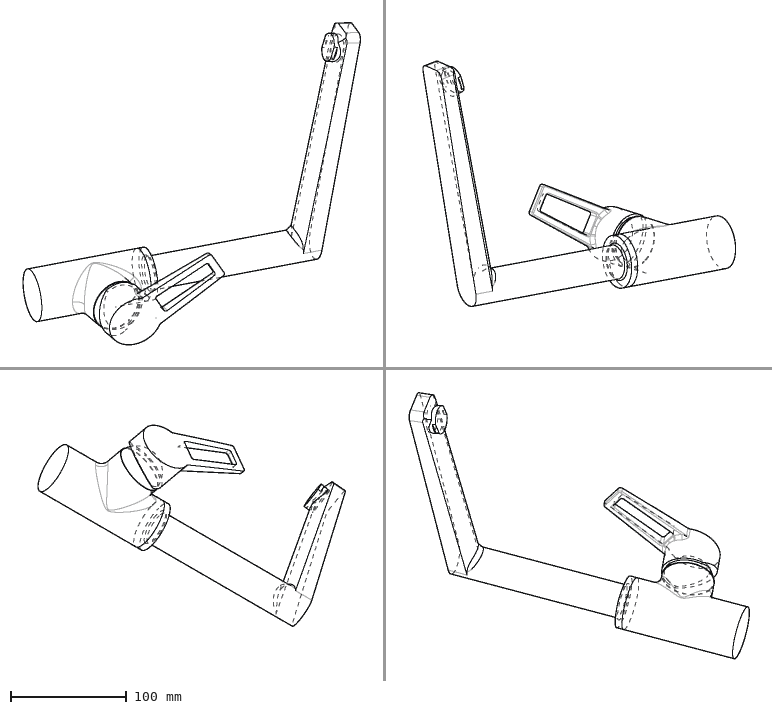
import cadquery as cq
import math


body_radius = 23.3
housing_length = 101.0
collar_length = 6.3
collar_top = housing_length + collar_length

branch_height = 54.7
branch_tilt = 10
branch_radius = 23.0
branch_length = 42.0
branch_blend = 8.5
ball_radius = 22.7
ball_center = 38.2

tube_radius = 15.0
flare_radius = 16.5
flare_length = 1.8
arm_tilt = 10
arm_back = 262.2
arm_edge = 245.0
arm_edge_tilt = 11.3
arm_bulge_bottom = 8.0
arm_bulge_top = 7.2
arm_back_top = 206.7
arm_loft_height = 224.0
arm_corner_radius = 6.5
head_depth = 12.5
head_bevel_angle = 51
elbow_slope = 41
elbow_half_width = 14.5
elbow_rise = 17.0
elbow_length = 15.0
elbow_overlap = 3.0

aerator_y = 273.3
aerator_z = 192.7
aerator_tilt = 17
aerator_radius = 12.2
aerator_length = 9.0
flat_half_width = 10.8
flat_length = 3.0

lever_turn = 30.5
cap_radius = 24.0
cap_start = 46.0
cap_relief_angle = 22
lever_end = 85.7
outer_points = [(-27.0, 70.0), (38.8, 82.5), (lever_end, 90.5)]
blade_root = 12.0
blade_inner_end = 86.0
blade_inner_tilt = 14
blade_root_half_width = 18.2
blade_end_half_width = 14.3
blade_corner_radius = 2.7
window_start = 25.5
window_end = 79.2
window_start_half_width = 10.2
window_end_half_width = 8.0
window_corner_radius = 2.0
blade_edge_radius = 1.2
blade_root_radius = 3.5

trim_reach = 179.2


def turned(angle):
    """Direction in the XY plane at the given angle from +X."""
    return cq.Vector(math.cos(math.radians(angle)), math.sin(math.radians(angle)), 0)


branch_axis = turned(branch_tilt)
branch_side = turned(branch_tilt + 90)
blade_direction = (
    branch_side * math.cos(math.radians(lever_turn))
    + cq.Vector(0, 0, 1) * math.sin(math.radians(lever_turn))
)
branch_frame = cq.Location(cq.Plane((0, branch_height, 0), blade_direction, branch_axis))


def y_cylinder(radius, start, end):
    return cq.Workplane("XZ", origin=(0, start, 0)).circle(radius).extrude(start - end)


def make_ball():
    """Ball end of the branch, which also shapes the socket in the lever."""
    return cq.Workplane("XY").sphere(ball_radius).translate((0, 0, ball_center)).val().moved(branch_frame)


def make_housing():
    column = y_cylinder(body_radius, 0, housing_length)
    branch = cq.Workplane("XY").circle(branch_radius).extrude(branch_length).val().moved(branch_frame)
    joined = column.union(cq.Workplane(branch))
    crossing = joined.edges("not(%CIRCLE or %LINE)")
    return crossing.fillet(branch_blend).union(cq.Workplane(make_ball()))


def make_collar():
    return y_cylinder(body_radius, housing_length, collar_top)


def arm_section(z, bulge):
    """Closed section at height z: flat back and sides, rounded front."""
    back = arm_back + z * math.tan(math.radians(arm_tilt))
    edge = arm_edge + z * math.tan(math.radians(arm_edge_tilt))
    return (
        cq.Workplane("XY", origin=(0, 0, z))
        .moveTo(-tube_radius, edge)
        .lineTo(-tube_radius, back)
        .lineTo(tube_radius, back)
        .lineTo(tube_radius, edge)
        .threePointArc((0, edge - bulge), (-tube_radius, edge))
        .close()
        .wires()
        .val()
    )


def back_frame(height):
    """Plane on the back of the arm: X up the arm from the given height, Z pointing backwards."""
    lean = math.radians(arm_tilt)
    start = (0, arm_back + height * math.tan(lean), height)
    return cq.Plane(start, (0, math.sin(lean), math.cos(lean)), (0, math.cos(lean), -math.sin(lean)))


def aerator_frame(behind=0.0):
    """Plane facing out of the aerator, set back from its face by the given distance."""
    lean = math.radians(aerator_tilt)
    outward = cq.Vector(0, -math.cos(lean), math.sin(lean))
    return cq.Plane(cq.Vector(0, aerator_y, aerator_z) - outward * behind, (1, 0, 0), outward)


def arm_corner(side):
    """Middle of the square corner edge at the top of the arm, on one side."""
    return back_frame(arm_back_top).toWorldCoords((0, side * tube_radius, -head_depth / 2)).toTuple()


def make_arm():
    sections = [arm_section(0, arm_bulge_bottom), arm_section(arm_loft_height, arm_bulge_top)]
    arm = cq.Workplane(cq.Solid.makeLoft(sections, True))
    above_top = cq.Workplane(back_frame(arm_back_top)).box(
        trim_reach, trim_reach, trim_reach, centered=(False, True, True)
    )
    arm = arm.cut(above_top)
    for side in (-1, 1):
        arm = arm.edges(cq.selectors.NearestToPointSelector(arm_corner(side))).fillet(arm_corner_radius)
    return arm


def cut_head(spout):
    """Bevel the top of the rounded front and sink the round seat of the aerator."""
    front_top = back_frame(arm_back_top).toWorldCoords((0, 0, -head_depth))
    bevel_reach = 2 * tube_radius
    bevel_drop = bevel_reach * math.tan(math.radians(head_bevel_angle))
    bevel = (
        cq.Workplane("YZ", origin=front_top.toTuple())
        .polyline([(0, 0), (-bevel_reach, -bevel_drop), (-bevel_reach, bevel_reach), (0, bevel_reach)])
        .close()
        .extrude(trim_reach, both=True)
    )
    seat = cq.Workplane(aerator_frame(aerator_length)).circle(aerator_radius).extrude(aerator_length)
    return spout.cut(bevel).cut(seat)


def make_elbow_blend():
    """Arched gusset in the corner of tube and arm, running out at the side edges."""
    slope = math.radians(elbow_slope)
    along = cq.Vector(0, math.cos(slope), math.sin(slope))
    corner = cq.Vector(0, arm_edge, 0)
    frame = cq.Plane(corner - along * elbow_overlap, (-1, 0, 0), along)
    arch = cq.Workplane(frame).ellipseArc(elbow_half_width, elbow_rise, 0, 180, startAtCurrent=False)
    return arch.close().extrude(elbow_length)


def make_spout():
    tube = y_cylinder(tube_radius, collar_top, arm_back + tube_radius)
    behind_back = cq.Workplane(back_frame(0)).box(
        trim_reach, trim_reach, trim_reach, centered=(True, True, False)
    )
    foot = cq.Vector(0, collar_top, 0)
    along_tube = cq.Vector(0, 1, 0)
    flare = cq.Workplane(cq.Solid.makeCone(flare_radius, tube_radius, flare_length, foot, along_tube))
    spout = make_arm().union(tube.cut(behind_back)).union(make_elbow_blend()).union(flare)
    return cut_head(spout)


def make_aerator():
    """Round outlet insert with two wrench flats next to its face."""
    body = cq.Workplane(aerator_frame(aerator_length)).circle(aerator_radius).extrude(aerator_length)
    for side in (-1, 1):
        beside_flat = (
            cq.Workplane(aerator_frame())
            .center(side * (flat_half_width + aerator_radius), 0)
            .box(2 * aerator_radius, 2 * aerator_radius, 2 * flat_length)
        )
        body = body.cut(beside_flat)
    return body


def tapered_outline(start, end, start_half_width, end_half_width):
    return (
        cq.Workplane("XY")
        .polyline([
            (start, -start_half_width),
            (end, -end_half_width),
            (end, end_half_width),
            (start, start_half_width),
        ])
        .close()
        .extrude(trim_reach)
    )


def under_outer_face():
    """Everything between W = 0 and the curved outer face of the lever."""
    first, middle, last = outer_points
    return (
        cq.Workplane("XZ")
        .moveTo(first[0], 0)
        .lineTo(*first)
        .threePointArc(middle, last)
        .lineTo(last[0], 0)
        .close()
        .extrude(trim_reach, both=True)
    )


def make_cap():
    """Round cap whose lower rim is relieved on the side away from the blade."""
    cap = cq.Workplane("XY", origin=(0, 0, cap_start)).circle(cap_radius).extrude(trim_reach)
    relief_height = trim_reach * math.tan(math.radians(cap_relief_angle))
    relief = (
        cq.Workplane("XZ", origin=(0, 0, cap_start))
        .polyline([(0, 0), (-trim_reach, 0), (-trim_reach, relief_height)])
        .close()
        .extrude(trim_reach, both=True)
    )
    return cap.cut(relief).intersect(under_outer_face())


def make_blade():
    """Tapered loop handle with a window and rounded inner edges."""
    inner_rise = (lever_end - blade_root) * math.tan(math.radians(blade_inner_tilt))
    blade = tapered_outline(blade_root, lever_end, blade_root_half_width, blade_end_half_width)
    blade = blade.edges("|Z and >X").fillet(blade_corner_radius)
    window = tapered_outline(window_start, window_end, window_start_half_width, window_end_half_width)
    window = window.edges("|Z").fillet(window_corner_radius)
    over_inner_face = (
        cq.Workplane("XZ")
        .polyline([
            (lever_end, blade_inner_end),
            (lever_end, trim_reach),
            (blade_root, trim_reach),
            (blade_root, blade_inner_end - inner_rise),
        ])
        .close()
        .extrude(trim_reach, both=True)
    )
    blade = blade.cut(window).intersect(over_inner_face)
    inner_face = cq.selectors.NearestToPointSelector((lever_end, 0, blade_inner_end))
    return blade.faces(inner_face).edges().fillet(blade_edge_radius).intersect(under_outer_face())


def make_lever():
    """Cap and blade as one body, hollowed to sit on the ball of the branch."""
    lever = make_cap().union(make_blade())
    root = cq.selectors.BoxSelector(
        (blade_root, -blade_root_half_width, cap_start),
        (window_start, blade_root_half_width, blade_inner_end),
    )
    lever = lever.edges(root).edges("%ELLIPSE").fillet(blade_root_radius)
    placed = lever.val().moved(branch_frame)
    return cq.Workplane(placed).cut(cq.Workplane(make_ball()))


housing = make_housing()
collar = make_collar()
spout = make_spout()
aerator = make_aerator()
lever = make_lever()

result = cq.Compound.makeCompound([housing.val(), collar.val(), spout.val(), aerator.val(), lever.val()])